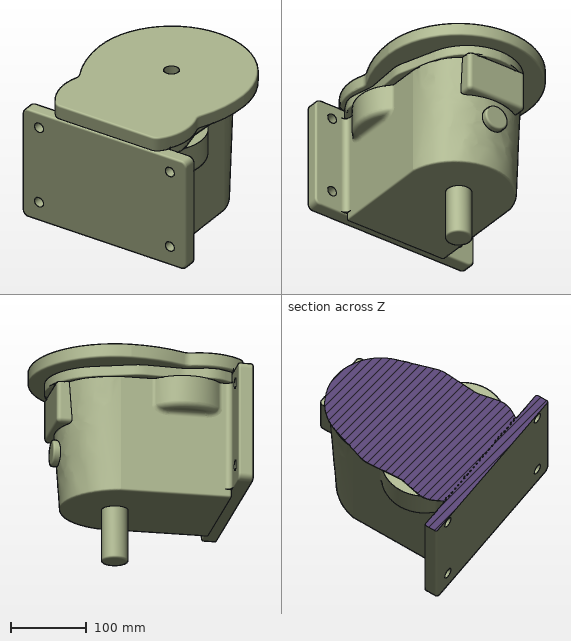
import cadquery as cq
import math


cover_thickness = 20.0
flange_thickness = 14.7
cover_top = 194.3
cover_bottom = cover_top - cover_thickness
flange_bottom = cover_bottom - flange_thickness

edge_round = 2.8

housing_half_width = 79.7
housing_front = -142.0
side_wall_end = 7.2
rear_bulge_bottom = 66.0
rear_bulge_top = 77.5

flange_rear = 93.5
flange_edge_round = 2.0

cover_radius = 115.0
flank_radius = 163.3
flank_center_x = flank_radius - cover_radius
lobe_radius = 69.2
lobe_half_width = 100.2
lobe_center_y = -108.0
cover_front = -158.5
neck_blend = 13.3
cover_corner_blend = 14.5
center_hole_diameter = 20.8

plate_width = 259.7
plate_thickness = 20.0
plate_top = cover_bottom
plate_bottom = 8.5
plate_corner = 8.9
plate_hole_diameter = 14.0
plate_hole_spacing = 207.0
plate_hole_heights = (37.5, 152.5)
web_radius = 8.3

boss_reach = 100.8
boss_chord = 88.5
boss_center_y = -82.2
boss_bottom = 116.0
boss_bottom_round = 8.3
boss_root_round = 6.6

pad_width = 91.4
pad_rear = 86.5
pad_bottom = 103.0
pad_round = 5.5

shaft_diameter = 35.5
shaft_end = -72.5
stub_end = 85.8
stub_height = 74.2

margin = 0.3


def housing_profile(z, rear_bulge):
    return (
        cq.Workplane("XY", origin=(0, 0, z))
        .moveTo(-housing_half_width, side_wall_end)
        .lineTo(-housing_half_width, housing_front)
        .lineTo(housing_half_width, housing_front)
        .lineTo(housing_half_width, side_wall_end)
        .threePointArc((0, side_wall_end + rear_bulge), (-housing_half_width, side_wall_end))
        .close()
        .val()
    )


def make_housing():
    bottom = housing_profile(0, rear_bulge_bottom)
    top = housing_profile(flange_bottom, rear_bulge_top)
    housing = cq.Workplane(cq.Solid.makeLoft([bottom, top], True))
    housing = housing.faces("<Y").edges("<X or >X").fillet(edge_round)
    return housing.faces("<Z").edges().fillet(edge_round)


def make_side_boss():
    """Drum segment standing out of the +X wall, rounded along its lower rim."""
    sagitta = boss_reach - housing_half_width
    radius = ((boss_chord / 2) ** 2 + sagitta**2) / (2 * sagitta)
    height = flange_bottom - boss_bottom
    return (
        cq.Workplane("XY", origin=(boss_reach - radius, boss_center_y, boss_bottom))
        .circle(radius)
        .extrude(height)
        .faces("<Z")
        .edges()
        .fillet(boss_bottom_round)
    )


def make_rear_pad():
    return (
        cq.Workplane("XY", origin=(0, 0, pad_bottom))
        .rect(pad_width, 2 * pad_rear)
        .extrude(flange_bottom - pad_bottom)
        .edges(">Y and |Z")
        .fillet(pad_round)
        .faces("<Z")
        .edges(">Y")
        .fillet(pad_round)
    )


def make_flange():
    """Half outline from the rear middle to the front edge, mirrored about the YZ plane."""
    half = (
        cq.Workplane("XY", origin=(0, 0, flange_bottom))
        .moveTo(0, flange_rear)
        .threePointArc((40.1, 82.0), (70.5, 43.5))
        .lineTo(88.3, -9.5)
        .threePointArc((90.0, -18.0), (90.0, -26.9))
        .lineTo(87.2, -69.0)
        .threePointArc((87.0, -75.5), (88.0, -82.0))
        .lineTo(92.7, -103.0)
        .threePointArc((93.8, -117.6), (88.9, -131.8))
        .lineTo(83.0, housing_front)
        .lineTo(0, housing_front)
        .close()
        .extrude(flange_thickness)
    )
    flange = half.union(half.mirror("YZ"))
    return flange.faces("<Z").edges().fillet(flange_edge_round)


def make_cover():
    lobe_center_x = lobe_half_width - lobe_radius

    dx = lobe_center_x + flank_center_x
    dy = lobe_center_y
    distance = math.hypot(dx, dy)
    along = (flank_radius**2 - lobe_radius**2 + distance**2) / (2 * distance)
    across = math.sqrt(flank_radius**2 - along**2)
    neck_x = -flank_center_x + (along * dx - across * dy) / distance
    neck_y = (along * dy + across * dx) / distance

    corner_x = lobe_center_x + math.sqrt(lobe_radius**2 - (cover_front - lobe_center_y) ** 2)

    flank_mid_angle = math.asin(neck_y / flank_radius) / 2
    flank_mid_x = flank_radius * math.cos(flank_mid_angle) - flank_center_x
    flank_mid_y = flank_radius * math.sin(flank_mid_angle)

    cover = (
        cq.Workplane("XY", origin=(0, 0, cover_bottom))
        .moveTo(-cover_radius, 0)
        .threePointArc((0, cover_radius), (cover_radius, 0))
        .threePointArc((flank_mid_x, flank_mid_y), (neck_x, neck_y))
        .threePointArc((lobe_half_width, lobe_center_y), (corner_x, cover_front))
        .lineTo(-corner_x, cover_front)
        .threePointArc((-lobe_half_width, lobe_center_y), (-neck_x, neck_y))
        .threePointArc((-flank_mid_x, flank_mid_y), (-cover_radius, 0))
        .close()
        .extrude(cover_thickness)
    )
    neck_zone = cq.selectors.BoxSelector(
        (-cover_radius, neck_y - margin, cover_bottom),
        (cover_radius, neck_y + margin, cover_top),
    )
    cover = cover.edges("|Z").edges(neck_zone).fillet(neck_blend)
    cover = cover.edges("|Z and <Y").fillet(cover_corner_blend)
    cover = cover.faces(">Z").edges().fillet(edge_round)

    plate_overlap = (
        cq.Workplane("XY", origin=(0, housing_front - plate_thickness / 2, cover_bottom))
        .rect(plate_width, plate_thickness)
        .extrude(cover_thickness)
    )
    front_lip = cover.intersect(plate_overlap)
    return cover.faces("<Z").edges().fillet(edge_round).union(front_lip)


def make_plate():
    plate_height = plate_top - plate_bottom
    plate = (
        cq.Workplane("XZ", origin=(0, housing_front, plate_bottom + plate_height / 2))
        .rect(plate_width, plate_height)
        .extrude(plate_thickness)
        .edges("|Y")
        .fillet(plate_corner)
        .faces("<Y or >Y")
        .edges()
        .fillet(edge_round)
    )
    hole_places = [
        (side * plate_hole_spacing / 2, height)
        for side in (-1, 1)
        for height in plate_hole_heights
    ]
    holes = (
        cq.Workplane("XZ", origin=(0, housing_front, 0))
        .pushPoints(hole_places)
        .circle(plate_hole_diameter / 2)
        .extrude(plate_thickness)
    )
    return plate.cut(holes)


def make_corner_web():
    """Concave fillet strip in the corner between the plate and the +X housing wall.

    It reaches into the wall by the corner rounding, so no gap is left behind the plate.
    """
    wall = housing_half_width
    bottom = plate_bottom + edge_round
    diagonal = web_radius * (1 - math.sqrt(0.5))
    return (
        cq.Workplane("XY", origin=(0, 0, bottom))
        .moveTo(wall - edge_round, housing_front)
        .lineTo(wall + web_radius, housing_front)
        .threePointArc(
            (wall + diagonal, housing_front + diagonal), (wall, housing_front + web_radius)
        )
        .lineTo(wall - edge_round, housing_front + web_radius)
        .close()
        .extrude(flange_bottom - bottom)
    )


def make_main_shaft():
    return (
        cq.Workplane("XY", origin=(0, 0, shaft_end))
        .circle(shaft_diameter / 2)
        .extrude(stub_height - shaft_end)
        .faces("<Z")
        .edges()
        .fillet(edge_round)
    )


def make_rear_stub():
    return (
        cq.Workplane("XZ", origin=(0, 0, stub_height))
        .circle(shaft_diameter / 2)
        .extrude(-stub_end)
        .faces(">Y")
        .edges()
        .fillet(edge_round)
    )


side_boss = make_side_boss()
body = make_housing().union(side_boss).union(side_boss.mirror("YZ"))

for side in (-1, 1):
    wall_x = side * housing_half_width
    root_zone = cq.selectors.BoxSelector(
        (wall_x - margin, boss_center_y - boss_chord / 2 - margin, boss_bottom - margin),
        (wall_x + margin, boss_center_y + boss_chord / 2 + margin, flange_bottom + margin),
        boundingbox=True,
    )
    body = body.edges(root_zone).fillet(boss_root_round)

body = body.union(make_rear_pad()).union(make_flange()).union(make_cover()).union(make_plate())
corner_web = make_corner_web()
body = body.union(corner_web).union(corner_web.mirror("YZ"))
body = body.union(make_main_shaft()).union(make_rear_stub())

center_hole = (
    cq.Workplane("XY", origin=(0, 0, cover_bottom))
    .circle(center_hole_diameter / 2)
    .extrude(cover_thickness)
)
result = body.cut(center_hole)